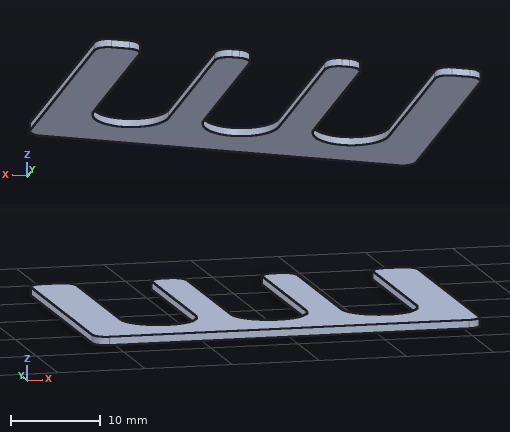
import cadquery as cq

length = 44.45
depth = 31.75
thickness = 1.0
corner_radius = 1.6

slot_count = 3
slot_width = 8.62
slot_pitch = 12.65
spine_width = 5.35

slot_radius = slot_width / 2
slot_center_y = -depth / 2 + spine_width + slot_radius


def slot_cutter(center_x):
    """Straight slot with a semicircular bottom, running out through the +Y edge."""
    left = center_x - slot_radius
    right = center_x + slot_radius
    return (
        cq.Workplane("XY")
        .moveTo(left, depth / 2)
        .lineTo(left, slot_center_y)
        .threePointArc((center_x, slot_center_y - slot_radius), (right, slot_center_y))
        .lineTo(right, depth / 2)
        .close()
        .extrude(thickness)
    )


plate = cq.Workplane("XY").rect(length, depth).extrude(thickness)
for index in range(slot_count):
    plate = plate.cut(slot_cutter((index - (slot_count - 1) / 2) * slot_pitch))

outer_edges = plate.faces("<Y or >Y").edges("|Z")
result = outer_edges.fillet(corner_radius)